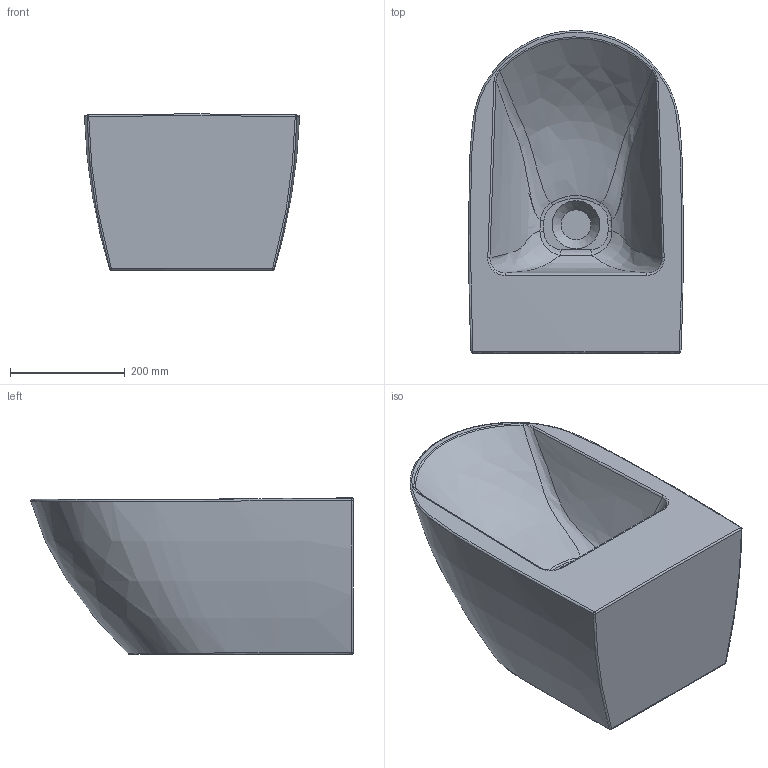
import cadquery as cq
import math


height = 272.0
length = 562.5
base_length = 391.0
top_half_width = 182.6
base_half_width = 142.5
top_side_swell = 4.8
base_side_swell = 0.7
base_nose_stretch = 22.0
side_steps = 4
nose_steps = 4
nose_bow = 26.0
side_bow = 9.0
body_levels = 4
edge_radius = 3.0

crown_drop = 1.6
nose_drop = 2.2
cutter_half_width = 250.0
cutter_height = 60.0
cutter_overhang = 50.0

basin_sections = [
    (-8.0, 138.5, 558.0, 156.5, 146.0, 26.0),
    (30.0, 140.0, 514.0, 138.0, 129.0, 28.0),
    (60.0, 142.0, 473.0, 121.0, 116.0, 30.0),
    (90.0, 147.0, 424.0, 102.0, 99.0, 32.0),
    (112.0, 157.0, 355.0, 86.0, 84.0, 38.0),
    (128.0, 174.0, 272.0, 60.0, 59.0, 38.0),
]
basin_depth = basin_sections[-1][0]
basin_front_bulge = 0.46
basin_edge_radius = 4.0
basin_floor_radius = 15.0

rim_half_width = 170.0
rim_rear_y = 130.0
rim_front_y = length - 9.0
rim_band = 6.0

drain_y = 223.5
drain_top_radius = 41.7
drain_bottom_radius = 26.0
drain_depth = 20.0
drain_rise = 10.0


def bowed(start, end, bow, t):
    """Value between start and end, pushed outward by a parabola of the given bow."""
    return start + (end - start) * t + 4.0 * bow * t * (1.0 - t)


def body_outline(t):
    """Outline at height fraction t: straight back, slightly convex sides, elliptical nose."""
    reach = bowed(base_length, length, nose_bow, t)
    nose_half_width = bowed(base_half_width, top_half_width, side_bow, t)
    nose_depth = nose_half_width + base_nose_stretch * (1.0 - t * t)
    swell = base_side_swell + (top_side_swell - base_side_swell) * t
    nose_center_y = reach - nose_depth
    right_side = []
    for i in range(side_steps):
        fraction = i / side_steps
        x = bowed(nose_half_width, nose_half_width, swell, fraction)
        right_side.append((x, nose_center_y * fraction))
    for i in range(nose_steps):
        angle = math.pi / 2.0 * i / nose_steps
        x = nose_half_width * math.cos(angle)
        y = nose_center_y + nose_depth * math.sin(angle)
        right_side.append((x, y))
    left_side = [(-x, y) for x, y in reversed(right_side)]
    return (
        cq.Workplane("XY", origin=(0, 0, height * t))
        .moveTo(*left_side[-1])
        .lineTo(*right_side[0])
        .spline(right_side[1:] + [(0, reach)] + left_side, includeCurrent=True)
        .wire()
        .val()
    )


def make_body():
    outlines = [body_outline(i / body_levels) for i in range(body_levels + 1)]
    return cq.Workplane(cq.Solid.makeLoft(outlines))


def make_top_cutter():
    """Block whose underside is the crowned, gently falling top surface."""
    edge_drop = crown_drop * (cutter_half_width / top_half_width) ** 2
    slope = math.degrees(math.atan2(nose_drop, length))
    return (
        cq.Workplane("XZ", origin=(0, -cutter_overhang, 0))
        .moveTo(-cutter_half_width, -edge_drop)
        .threePointArc((0, 0), (cutter_half_width, -edge_drop))
        .lineTo(cutter_half_width, cutter_height)
        .lineTo(-cutter_half_width, cutter_height)
        .close()
        .extrude(-(length + 2 * cutter_overhang))
        .rotate((0, 0, 0), (1, 0, 0), -slope)
        .translate((0, 0, height))
    )


def basin_outline(depth, rear_y, nose_y, rear_half, front_half, corner_radius):
    """Outline of the basin at one depth: straight rear, tapering sides, arched front."""
    shoulder_y = nose_y - basin_front_bulge * front_half
    wire = (
        cq.Workplane("XY", origin=(0, 0, height - depth))
        .moveTo(-rear_half, rear_y)
        .lineTo(rear_half, rear_y)
        .lineTo(front_half, shoulder_y)
        .threePointArc((0, nose_y), (-front_half, shoulder_y))
        .close()
        .val()
    )
    return wire.fillet2D(corner_radius, wire.Vertices())


def make_basin():
    outlines = [basin_outline(*section) for section in basin_sections]
    basin = cq.Workplane(cq.Solid.makeLoft(outlines))
    return basin.faces("<Z").edges().fillet(basin_floor_radius)


def make_drain():
    floor_z = height - basin_depth
    steepness = (drain_top_radius - drain_bottom_radius) / drain_depth
    cone = cq.Solid.makeCone(
        drain_bottom_radius,
        drain_top_radius + steepness * drain_rise,
        drain_depth + drain_rise,
        pnt=cq.Vector(0, drain_y, floor_z - drain_depth),
    )
    return cq.Workplane(cone)


def round_rim(hollowed):
    """Round the basin opening; its edges lie near the top, clear of the outer edges."""
    low_corner = (-rim_half_width, rim_rear_y, height - rim_band)
    high_corner = (rim_half_width, rim_front_y, height + rim_band)
    rim = hollowed.edges(cq.selectors.BoxSelector(low_corner, high_corner))
    return rim.fillet(basin_edge_radius)


body = make_body().cut(make_top_cutter()).edges().fillet(edge_radius)
result = round_rim(body.cut(make_basin())).cut(make_drain())